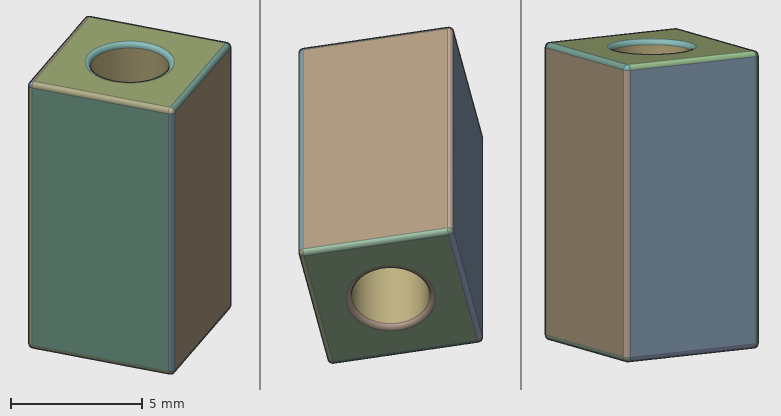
import cadquery as cq

height = 11.5
side = 6.0
bore_diameter = 3.0
edge_radius = 0.2

post = cq.Workplane("XY").box(side, side, height).edges().fillet(edge_radius)

bore = cq.Workplane("XY").circle(bore_diameter / 2).extrude(height, both=True)
bored_post = post.cut(bore)

mouth_edges = bored_post.edges("%CIRCLE").edges(cq.selectors.RadiusNthSelector(-1))
result = mouth_edges.fillet(edge_radius)